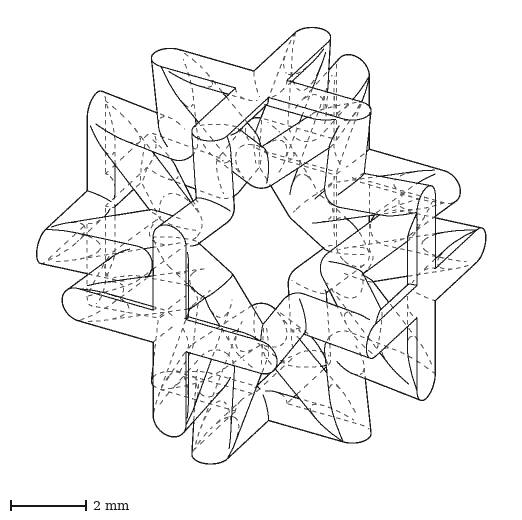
import cadquery as cq

CELL = 10.0
STRUT_DIAMETER = 1.0
TIP_OFFSET = 2.76
KNEE_OFFSET = 2.49
APEX_HEIGHT = 2.36

half = CELL / 2
radius = STRUT_DIAMETER / 2
SIGNS = (1, -1)


def point(placed):
    """Return a 3D point from a mapping of axis index to coordinate, zero elsewhere."""
    return cq.Vector(*(placed.get(axis, 0) for axis in range(3)))


def strut(start, end):
    """Return a round bar running from start to end."""
    along = end - start
    return cq.Solid.makeCylinder(radius, along.Length, start, along)


def joint(center):
    """Return a ball that rounds the end of the struts meeting at center."""
    return cq.Workplane("XY").sphere(radius).val().translate(center)


struts = []
joints = []

for normal in range(3):
    for side in SIGNS:
        apex = point({normal: side * APEX_HEIGHT})
        joints.append(joint(apex))
        for across in range(3):
            if across == normal:
                continue
            tips = [point({normal: side * half, across: end * TIP_OFFSET}) for end in SIGNS]
            struts.append(strut(*tips))
            for tip in tips:
                struts.append(strut(tip, apex))
                joints.append(joint(tip))

for first, second in ((0, 1), (1, 2), (2, 0)):
    for first_side in SIGNS:
        for second_side in SIGNS:
            knee = point({first: first_side * KNEE_OFFSET, second: second_side * KNEE_OFFSET})
            first_tip = point({first: first_side * half, second: second_side * TIP_OFFSET})
            second_tip = point({first: first_side * TIP_OFFSET, second: second_side * half})
            struts.append(strut(knee, first_tip))
            struts.append(strut(knee, second_tip))
            joints.append(joint(knee))

cube = cq.Workplane("XY").box(CELL, CELL, CELL).val()
frame = struts[0].fuse(*struts[1:]).intersect(cube)
trimmed_joints = [ball.intersect(cube) for ball in joints]
result = cq.Workplane(frame.fuse(*trimmed_joints)).clean()